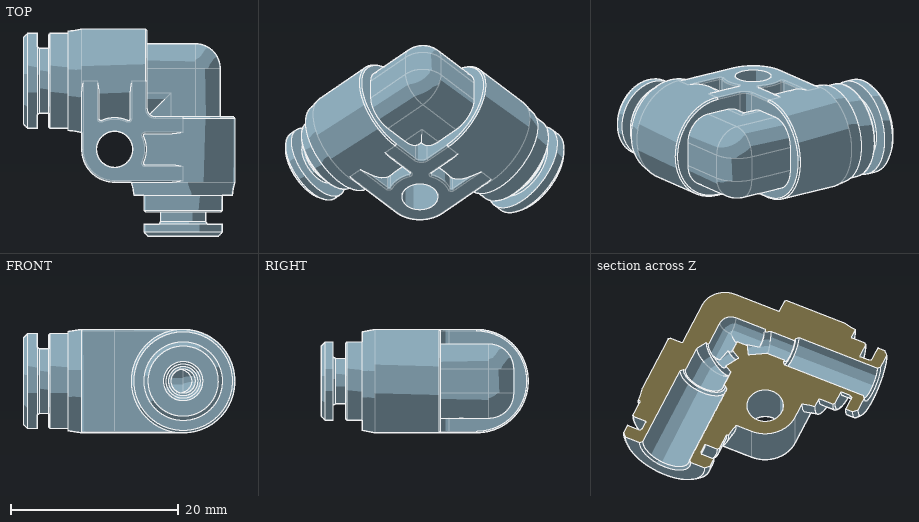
import cadquery as cq
import math


body_radius = 6.2
body_front = 12.15
body_back = 4.3
body_edge_fillet = 0.2
inner_corner_fillet = 1.0
block_overlap = 1.0

hole_offset = 8.2
hole_diameter = 4.3
outer_corner_radius = body_front - hole_offset

boss_radius = 3.8
recess_half_width = 1.85
recess_corner_fillet = 0.2

elbow_half_width = 4.45
elbow_fillet = 3.0
elbow_reach = 6.0

passage_radius = 1.45
bend_distance = 5.0
bend_angle = math.radians(30)
tilted_length = 2.6
straight_distance = 3.9
seat_radius = 2.5
seat_depth = 0.7

sleeve_chamfer = 0.2
collar_chamfer = 0.5
neck_flare = 0.17
mouth_chamfer = 0.3
bore_step = 0.3
stop_distance = 8.0
tube_clearance = 0.05

large_port = {
    "direction": cq.Vector(-1, 0, 0),
    "tip": 19.1,
    "collar_length": 1.65,
    "flare_length": 0.25,
    "groove_end": 16.1,
    "sleeve_end": 13.8,
    "sleeve_radius": 5.7,
    "neck_radius": 3.9,
    "taper_radius": 5.95,
    "tube_radius": 3.0,
}
small_port = {
    "direction": cq.Vector(0, -1, 0),
    "tip": 18.6,
    "collar_length": 1.45,
    "flare_length": 0.3,
    "groove_end": 15.7,
    "sleeve_end": 13.7,
    "sleeve_radius": 4.7,
    "neck_radius": 2.73,
    "taper_radius": 5.9,
    "tube_radius": 2.0,
}
ports = (large_port, small_port)


def revolve_profile(port, points):
    """Turn a closed outline of (radius, distance from the crossing) about the port axis."""
    radial = cq.Vector(0, 0, 1)
    plane = cq.Plane(origin=(0, 0, 0), xDir=radial, normal=radial.cross(port["direction"]))
    return cq.Workplane(plane).polyline(points).close().revolve(360, (0, 0), (0, 1))


def make_barrel(port):
    """Body barrel with its taper towards the port."""
    return revolve_profile(port, [
        (0, body_back),
        (body_radius - body_edge_fillet, body_back),
        (body_radius, body_back + body_edge_fillet),
        (body_radius, body_front),
        (port["taper_radius"], port["sleeve_end"]),
        (0, port["sleeve_end"]),
    ])


def make_release_sleeve(port):
    """Sleeve, grooved neck and release collar outside the barrel."""
    sleeve_radius = port["sleeve_radius"]
    neck_radius = port["neck_radius"]
    tip = port["tip"]
    collar_back = tip - port["collar_length"]
    return revolve_profile(port, [
        (0, body_front),
        (sleeve_radius, body_front),
        (sleeve_radius, port["groove_end"] - sleeve_chamfer),
        (sleeve_radius - sleeve_chamfer, port["groove_end"]),
        (neck_radius, port["groove_end"]),
        (neck_radius, collar_back - port["flare_length"]),
        (neck_radius + neck_flare, collar_back),
        (sleeve_radius, collar_back),
        (sleeve_radius, tip - collar_chamfer),
        (sleeve_radius - collar_chamfer, tip),
        (0, tip),
    ])


def make_bore(port):
    """Tube bore with a chamfered mouth and a conical step at the tube stop."""
    bore_radius = port["tube_radius"] + tube_clearance
    stop_radius = bore_radius - bore_step
    tip = port["tip"]
    return revolve_profile(port, [
        (0, stop_distance - bore_step),
        (stop_radius, stop_distance - bore_step),
        (bore_radius, stop_distance),
        (bore_radius, tip - mouth_chamfer),
        (bore_radius + mouth_chamfer, tip),
        (0, tip),
    ])


def make_recess(port_angle):
    """Recess tool running towards a barrel, with a concave end around the boss."""
    recess_length = hole_offset + block_overlap
    slot = cq.Workplane("XY").box(
        2 * recess_half_width, recess_length, 2 * body_radius, centered=(True, False, True)
    )
    boss = cq.Workplane("XY").cylinder(2 * body_radius, boss_radius)
    recess = slot.cut(boss).edges("|Z and (not >Y)").fillet(recess_corner_fillet)
    recess = recess.rotate((0, 0, 0), (0, 0, 1), port_angle)
    return recess.translate((-hole_offset, -hole_offset, 0))


def make_block():
    """L-shaped block joining the barrels, recessed around the mounting boss."""
    leg_length = body_front + block_overlap
    leg_width = body_front - body_back
    corner = (-body_front, -body_front, -body_radius)
    leg_along_x = cq.Workplane(origin=corner).box(leg_length, leg_width, 2 * body_radius, centered=False)
    leg_along_y = cq.Workplane(origin=corner).box(leg_width, leg_length, 2 * body_radius, centered=False)
    block = leg_along_x.union(leg_along_y)

    outer_corner = cq.selectors.NearestToPointSelector((-body_front, -body_front, 0))
    block = block.edges(outer_corner).fillet(outer_corner_radius)
    inner_corner = cq.selectors.NearestToPointSelector((-body_back, -body_back, 0))
    block = block.edges(inner_corner).fillet(inner_corner_fillet)
    for port_angle in (0, -90):
        block = block.cut(make_recess(port_angle))
    block = block.faces("|Z").edges().fillet(body_edge_fillet)

    quadrant = cq.Workplane(origin=corner).box(body_front, body_front, 2 * body_radius, centered=False)
    return block.intersect(quadrant)


def make_elbow():
    """Two rounded square arms meeting in a rounded corner behind the barrels."""
    arm_length = elbow_half_width + elbow_reach
    arm = (
        cq.Workplane("XY")
        .box(arm_length, 2 * elbow_half_width, 2 * elbow_half_width)
        .translate((elbow_half_width - arm_length / 2, 0, 0))
        .edges("|X or >X")
        .fillet(elbow_fillet)
    )
    return arm.union(arm.rotate((0, 0, 0), (0, 0, 1), 90))


def make_tilted_bore(port_direction, radius, length_past_bend):
    """Bore running in from the tube stop, then turning towards the other port's side."""
    inward = -port_direction
    aside = cq.Vector(port_direction.y, port_direction.x, 0)
    outer_end = port_direction * (stop_distance - bore_step)
    bend = port_direction * bend_distance
    tilted_direction = inward * math.cos(bend_angle) + aside * math.sin(bend_angle)
    inner_end = bend + tilted_direction * length_past_bend
    path = cq.Workplane("XY").polyline([outer_end, bend, inner_end])
    section = cq.Workplane(cq.Plane(origin=outer_end, normal=inward)).circle(radius)
    return section.sweep(path, transition="right")


def make_passage():
    """Flow passage around the elbow: a straight bore on each port axis and a ball corner."""
    passage = cq.Workplane("XY").sphere(passage_radius)
    for port in ports:
        direction = port["direction"]
        straight_start = direction * straight_distance
        straight = cq.Solid.makeCylinder(passage_radius, straight_distance, straight_start, -direction)
        passage = passage.union(cq.Workplane(straight))
        passage = passage.union(make_tilted_bore(direction, passage_radius, tilted_length))
    return passage.union(make_tilted_bore(large_port["direction"], seat_radius, seat_depth))


def make_mounting_hole():
    """Through hole beside both barrels."""
    hole = cq.Workplane("XY").cylinder(2 * body_radius, hole_diameter / 2)
    return hole.translate((-hole_offset, -hole_offset, 0))


result = make_block().union(make_elbow())
for port in ports:
    result = result.union(make_barrel(port)).union(make_release_sleeve(port))
result = result.cut(make_mounting_hole()).cut(make_passage())
for port in ports:
    result = result.cut(make_bore(port))